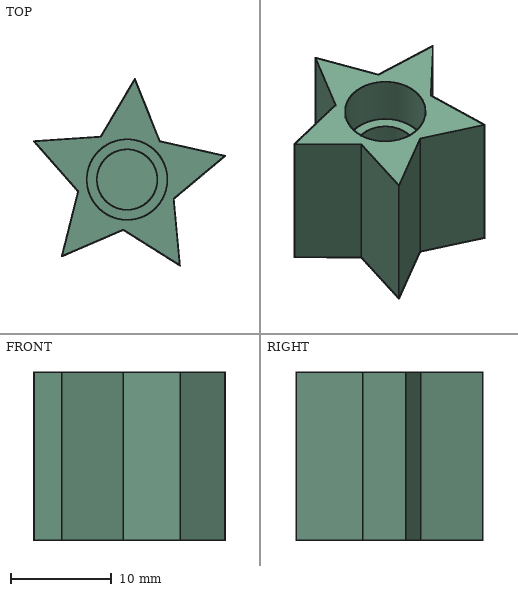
import cadquery as cq
import math

width_x = 19.01
height = 16.71
star_points = 5
first_tip_angle = 13.6
tip_step = 360.0 / star_points
notch_ratio = 0.5

bore_diameter = 8.0
bore_depth = 5.5
lower_bore_diameter = 6.0
floor_thickness = 1.2
lower_bore_depth = height - floor_thickness

tip_angles = [first_tip_angle + i * tip_step for i in range(star_points)]
tip_cosines = [math.cos(math.radians(angle)) for angle in tip_angles]
tip_radius = width_x / (max(tip_cosines) - min(tip_cosines))
notch_radius = notch_ratio * tip_radius


def polar_point(radius, angle):
    """Point at a radius and an angle in degrees around the star's centre."""
    radians = math.radians(angle)
    return (radius * math.cos(radians), radius * math.sin(radians))


def make_star():
    """Prism whose outline alternates between tips and inner corners."""
    outline = []
    for angle in tip_angles:
        outline.append(polar_point(tip_radius, angle))
        outline.append(polar_point(notch_radius, angle + tip_step / 2))
    return cq.Workplane("XY").polyline(outline).close().extrude(height)


def make_bore(diameter, depth):
    """Cylinder reaching down from the top face along the central axis."""
    return cq.Workplane("XY").workplane(offset=height).circle(diameter / 2).extrude(-depth)


result = (
    make_star()
    .cut(make_bore(bore_diameter, bore_depth))
    .cut(make_bore(lower_bore_diameter, lower_bore_depth))
)